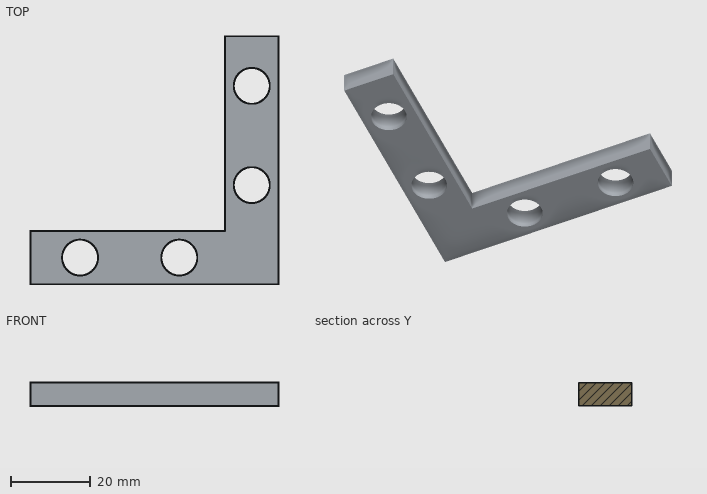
import cadquery as cq

leg_length = 62.5
leg_width = 13.5
thickness = 6.0
hole_diameter = 9.0
end_to_first_hole = 12.5
hole_spacing = 25.0
holes_per_leg = 2

leg_along_x = cq.Workplane("XY").box(leg_length, leg_width, thickness, centered=False)
leg_along_y = (
    cq.Workplane("XY")
    .box(leg_width, leg_length, thickness, centered=False)
    .translate((leg_length - leg_width, 0, 0))
)
plate = leg_along_x.union(leg_along_y)

hole_centres = []
for index in range(holes_per_leg):
    from_free_end = end_to_first_hole + index * hole_spacing
    hole_centres.append((from_free_end, leg_width / 2))
    hole_centres.append((leg_length - leg_width / 2, leg_length - from_free_end))

holes = (
    cq.Workplane("XY")
    .pushPoints(hole_centres)
    .circle(hole_diameter / 2)
    .extrude(thickness)
)

result = plate.cut(holes)